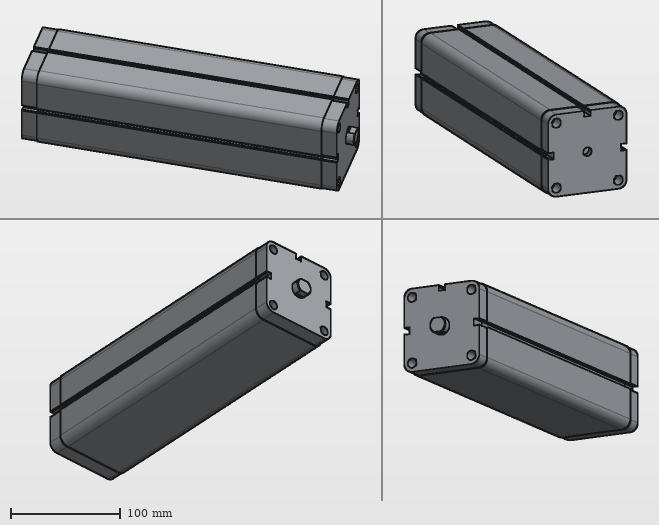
import cadquery as cq

total_length = 307.5
rod_projection = 8.0
cap_length = 14.5
barrel_width = 80.0
cap_width = 78.7
corner_inset = 9.0

barrel_hole_diameter = 7.7
cap_hole_diameter = 9.0

slot_width = 6.5
barrel_mouth_width = 5.0
cap_mouth_width = 6.0
slot_depth = 6.0
slot_lip = 2.5
slot_side_angles = (0, 90, 180)

centre_hole_diameter = 8.3
centre_hole_depth = 6.0

rod_diameter = 16.3
rod_chamfer = 0.5
flat_spacing = 13.2
flat_setback = 1.5

front_face_x = total_length - rod_projection
barrel_start_x = cap_length
barrel_end_x = front_face_x - cap_length
barrel_length = barrel_end_x - barrel_start_x
corner_centre = barrel_width / 2 - corner_inset
slot_floor = barrel_width / 2 - slot_depth
slot_lip_floor = barrel_width / 2 - slot_lip
corner_points = [(y, z) for y in (-corner_centre, corner_centre) for z in (-corner_centre, corner_centre)]


def section_plane(x):
    """Plane across the cylinder axis, extruding toward +X."""
    return cq.Workplane("YZ", origin=(x, 0, 0))


def groove(x, length, width, inner, outer, angle):
    """Straight groove along X, between two distances from the axis, turned to one side."""
    cutter = section_plane(x).center((inner + outer) / 2, 0).rect(outer - inner, width).extrude(length)
    return cutter.rotate((0, 0, 0), (1, 0, 0), angle)


def slotted_profile(x, length, width, hole_diameter, mouth_width):
    """Square bar with rounded corners, a screw hole in each corner and a T-shaped slot on three sides."""
    profile = section_plane(x).rect(width, width).extrude(length)
    profile = profile.edges("|X").fillet(width / 2 - corner_centre)
    holes = section_plane(x).pushPoints(corner_points).circle(hole_diameter / 2).extrude(length)
    profile = profile.cut(holes)
    for angle in slot_side_angles:
        mouth = groove(x, length, mouth_width, slot_floor, barrel_width / 2, angle)
        chamber = groove(x, length, slot_width, slot_floor, slot_lip_floor, angle)
        profile = profile.cut(mouth).cut(chamber)
    return profile


def make_barrel():
    """Long profile between the two caps."""
    return slotted_profile(barrel_start_x, barrel_length, barrel_width, barrel_hole_diameter, barrel_mouth_width)


def make_cap(x):
    """End cap, slightly smaller than the barrel."""
    return slotted_profile(x, cap_length, cap_width, cap_hole_diameter, cap_mouth_width)


def make_rear_cap():
    """Cap with a blind hole in the middle of its outer face."""
    hole = section_plane(0).circle(centre_hole_diameter / 2).extrude(centre_hole_depth)
    return make_cap(0).cut(hole)


def make_front_cap():
    """Cap with a through hole that the rod fills."""
    hole = section_plane(barrel_end_x).circle(rod_diameter / 2).extrude(cap_length)
    return make_cap(barrel_end_x).cut(hole)


def make_rod():
    """Round rod from the barrel end through the front cap, with flats above and below."""
    rod = section_plane(barrel_end_x).circle(rod_diameter / 2).extrude(total_length - barrel_end_x)
    rod = rod.faces(">X").edges().chamfer(rod_chamfer)
    flats_x = front_face_x + flat_setback
    flats_length = total_length - flats_x
    for angle in (90, -90):
        rod = rod.cut(groove(flats_x, flats_length, rod_diameter, flat_spacing / 2, rod_diameter, angle))
    return rod


barrel = make_barrel()
rear_cap = make_rear_cap()
front_cap = make_front_cap()
rod = make_rod()

result = cq.Compound.makeCompound([barrel.val(), rear_cap.val(), front_cap.val(), rod.val()])